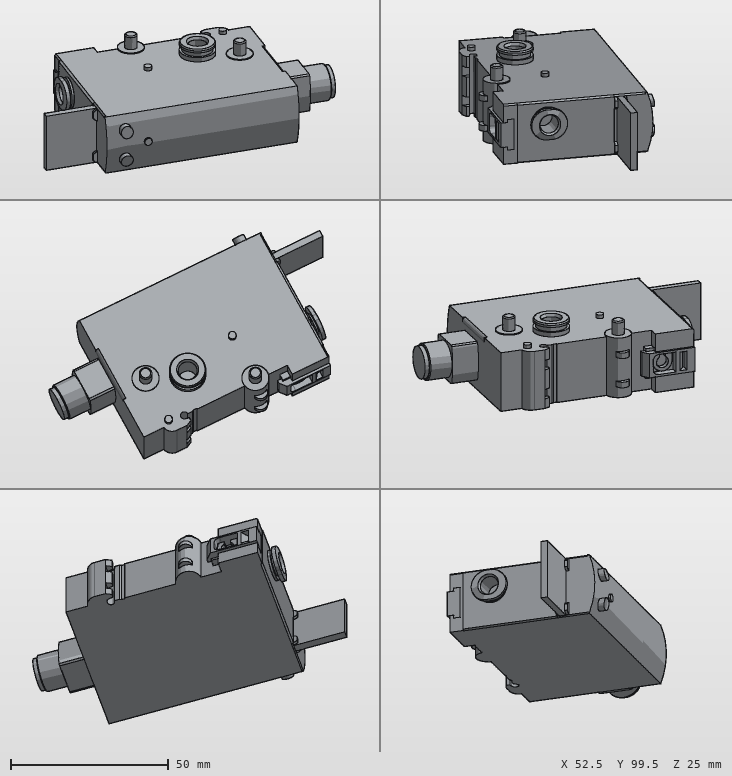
import cadquery as cq
import math


HEIGHT = 20.0
MID_Z = 9.8
LENGTH = 64.8
RAIL_FACE_X = 3.4
FOOT_LENGTH = 13.2
BACK_X = 2.75
CROWN_EDGE_X = 47.2
CROWN_X = 49.1
CROWN_RISE = CROWN_X - CROWN_EDGE_X
CROWN_RADIUS = ((HEIGHT / 2) ** 2 + CROWN_RISE**2) / (2 * CROWN_RISE)
CROWN_CENTER_X = CROWN_X - CROWN_RADIUS
PLAIN_CORNER = 0.6
FRONT_CHAMFER = 0.5
BOTTOM_CHAMFER = 0.4
COVER_START, COVER_END = 4.5, 36.3
COVER_RISE = 0.25

HOOK_RADIUS = 3.3
HOOK_ARC_Y = 54.4
HOOK_TIP_Y = 48.9
HOOK_TIP_START, HOOK_TIP_END = 0.9, 2.0
HOOK_BEVEL_Y = 50.75
HOOK_SLOT_RADIUS = 1.2
HOOK_SLOT_Y = 50.0
WINDOW_HEIGHT = 3.2
WINDOW_SPACING = 9.9
GROOVE_START, GROOVE_END = 45.4, 46.55
GROOVE_DEPTH = 0.3
GROOVE_SLOPE = 0.6

COLUMN_X, COLUMN_Y = 4.2, 24.2
PIN_STEP_X = 15.9
PIN_STEP_Y = 31.0
DISC_DIAMETER = 8.6
DISC_RISE = 0.35
TALL_PIN_DIAMETER = 4.0
TALL_PIN_TOP = 25.0
PIN_CHAMFER = 0.4
SHORT_PIN_DIAMETER = 2.5
SHORT_PIN_TOP = 21.2
TAB_DIAMETER = 4.5
TAB_TIP_X = -1.55
TAB_THICKNESS = 1.9
TAB_SPACING = 10.0

BUTTON_DIAMETER = 4.0
BUTTON_Y = 6.3
BUTTON_SPACING = 10.1
BUTTON_END_X = 50.98
LAMP_DIAMETER = 2.5
LAMP_Y = 13.8
LAMP_RISE = 0.6

CONNECTOR_X = 28.65
BLOCK_WIDTH = 13.2
BLOCK_FLAT_HALF = 5.15
BLOCK_EDGE_HALF = 5.85
BLOCK_BEVEL = 0.35
BLOCK_END_Y = 73.6
BARREL_DIAMETER = 12.0
BARREL_END_Y = 81.1
BARREL_CHAMFER = 0.3
TIP_DIAMETER = 10.7
TIP_END_Y = 82.51
RELIEF_START, RELIEF_END = 17.1, 36.0
RELIEF_LENGTH, RELIEF_DROP = 1.0, 1.5

LATCH_FACE_X = -0.9
LATCH_STEP_X = 1.25
LATCH_NECK_WIDTH = 8.2
LATCH_FLANGE_WIDTH = 10.2
LATCH_FLANGE_LENGTH = 15.9
LATCH_BEVEL_Y = 15.5
LATCH_TIP_Y = 17.3
LATCH_TIP_X = 2.25
POCKET_START, POCKET_END = 6.45, 14.2
POCKET_WIDTH = 6.8
POCKET_DEPTH = 2.6
POCKET_RADIUS = 1.8
RING_RECESS = 1.8
RING_Y = 10.4
RING_DIAMETER = 6.4
KEYHOLE_DIAMETER = 4.0
KEYHOLE_WIDTH = 2.1
KEYHOLE_DEPTH = 3.6
GRIP_START, GRIP_END = 2.75, 5.2
GRIP_WIDTH = 6.3
GRIP_DEPTH = 2.5
GRIP_FLOOR = 0.5

SHANK_DIAMETER = 9.5
SHANK_DEPTH = 5.0
FITTING_BORE = 6.0
BORE_MOUTH = 7.0
TOP_FITTING_X, TOP_FITTING_Y = 15.2, 42.7
TOP_FLANGE_DIAMETER = 11.6
TOP_NECK_DIAMETER = 10.0
TOP_COLLAR_RISE = 1.5
TOP_NECK_RISE = 3.2
TOP_FITTING_RISE = 4.4
TOP_BEVEL_WIDTH, TOP_BEVEL_HEIGHT = 0.3, 0.5
FRONT_FITTING_X, FRONT_FITTING_Z = 14.3, 13.1
FRONT_COLLAR_DIAMETER = 10.0
FRONT_COLLAR_END = 1.05
FRONT_NECK_DIAMETER = 7.2
FRONT_NECK_END = 1.9
OVAL_WIDTH, OVAL_HEIGHT = 11.8, 10.0
OVAL_END = 3.15
FRONT_FITTING_END = 3.55

PLATE_START, PLATE_END = 37.2, 39.4
PLATE_LENGTH = 17.0
PLATE_BOTTOM, PLATE_TOP = 0.25, 19.5
LUG_WIDTH = 0.9
LUG_RADIUS = 2.0
LUG_TIP_Y = -1.4
LUG_CENTER_Y = 0.3
LUG_LOW_Z, LUG_HIGH_Z = 2.5, 17.4


def box(x_range, y_range, z_range):
    """Block between two positions on each axis."""
    (x0, x1), (y0, y1), (z0, z1) = x_range, y_range, z_range
    return cq.Workplane("XY").box(x1 - x0, y1 - y0, z1 - z0, centered=False).translate((x0, y0, z0))


def centered_range(center, width):
    return center - width / 2, center + width / 2


def upright(diameter, x, y, z_bottom, z_top):
    """Cylinder along Z."""
    return cq.Workplane("XY", origin=(x, y, z_bottom)).circle(diameter / 2).extrude(z_top - z_bottom)


def outward_x(diameter, y, z, x_start, x_end):
    """Cylinder along X."""
    return cq.Workplane("YZ", origin=(x_start, y, z)).circle(diameter / 2).extrude(x_end - x_start)


def along_y(diameter, x, z, y_start, y_end):
    """Cylinder along Y."""
    plane = cq.Workplane("XZ", origin=(x, y_start, z))
    return plane.circle(diameter / 2).extrude(y_start - y_end)


def stepped_round(plane, stages):
    """Stack of round stages on a plane, each given as diameter, start and end."""
    body = None
    for diameter, start, end in stages:
        stage = plane.workplane(offset=start).circle(diameter / 2).extrude(end - start)
        body = stage if body is None else body.union(stage)
    return body


def fitting_bore(plane, end):
    """Bore of a fitting, with a conical mouth at its outer end."""
    bore = plane.workplane(offset=-SHANK_DEPTH).circle(FITTING_BORE / 2).extrude(SHANK_DEPTH + end)
    mouth = plane.workplane(offset=end).circle(BORE_MOUTH / 2)
    mouth = mouth.workplane(offset=FITTING_BORE - BORE_MOUTH).circle(FITTING_BORE / 2).loft()
    return bore.union(mouth)


def housing_block():
    """Plan outline with the rail hook, trimmed by the bulged side, plus the front cover."""
    diagonal = HOOK_RADIUS * math.sqrt(0.5)
    hook_end_dx = HOOK_RADIUS - BACK_X
    hook_end_y = HOOK_ARC_Y + math.sqrt(HOOK_RADIUS**2 - hook_end_dx**2)
    plan = (
        cq.Workplane("XY")
        .moveTo(0, 0)
        .lineTo(CROWN_X, 0)
        .lineTo(CROWN_X, LENGTH)
        .lineTo(BACK_X, LENGTH)
        .lineTo(BACK_X, hook_end_y)
        .threePointArc((HOOK_RADIUS - diagonal, HOOK_ARC_Y + diagonal), (0, HOOK_ARC_Y))
        .lineTo(0, HOOK_BEVEL_Y)
        .lineTo(HOOK_TIP_START, HOOK_TIP_Y)
        .lineTo(HOOK_TIP_END, HOOK_TIP_Y)
        .lineTo(RAIL_FACE_X - HOOK_SLOT_RADIUS, HOOK_SLOT_Y)
        .lineTo(RAIL_FACE_X, HOOK_SLOT_Y)
        .lineTo(RAIL_FACE_X, GROOVE_END + GROOVE_SLOPE)
        .lineTo(RAIL_FACE_X + GROOVE_DEPTH, GROOVE_END)
        .lineTo(RAIL_FACE_X + GROOVE_DEPTH, GROOVE_START)
        .lineTo(RAIL_FACE_X, GROOVE_START)
        .lineTo(RAIL_FACE_X, FOOT_LENGTH)
        .lineTo(0, FOOT_LENGTH)
        .close()
        .extrude(HEIGHT)
    )
    plan = plan.cut(upright(2 * HOOK_SLOT_RADIUS, RAIL_FACE_X, HOOK_SLOT_Y, 0, HEIGHT))
    cover = box((COVER_START, COVER_END), (-COVER_RISE, 0), (0, HEIGHT))
    crown = cq.Workplane("XZ", origin=(CROWN_CENTER_X, LENGTH, HEIGHT / 2))
    crown = crown.circle(CROWN_RADIUS).extrude(LENGTH + COVER_RISE)
    block = plan.union(cover).intersect(crown)
    for window_z in (MID_Z - WINDOW_SPACING / 2, MID_Z + WINDOW_SPACING / 2):
        window_z_range = centered_range(window_z, WINDOW_HEIGHT)
        block = block.cut(box((0, RAIL_FACE_X), (HOOK_TIP_Y, HOOK_BEVEL_Y), window_z_range))
    return block


def front_bevel(x_start, x_end, rise, edge_z, drop):
    """Wedge that bevels an edge of the front face, which stands proud of Y = 0 by the rise."""
    wedge = cq.Workplane("YZ", origin=(x_start, 0, edge_z))
    wedge = wedge.polyline([(-rise, -drop), (abs(drop), 0), (-rise, 0)]).close()
    return wedge.extrude(x_end - x_start)


def back_relief():
    """Cut that rounds the top of the back face above the connector, running smoothly into the face."""
    wedge = cq.Workplane("YZ", origin=(RELIEF_START, LENGTH, HEIGHT))
    radius = (RELIEF_LENGTH**2 + RELIEF_DROP**2) / (2 * RELIEF_LENGTH)
    half_angle = math.atan2(RELIEF_LENGTH, RELIEF_DROP)
    arc_middle = (radius * (math.cos(half_angle) - 1), radius * math.sin(half_angle) - RELIEF_DROP)
    wedge = wedge.moveTo(0, -RELIEF_DROP).threePointArc(arc_middle, (-RELIEF_LENGTH, 0))
    wedge = wedge.lineTo(0, 0).close()
    return wedge.extrude(RELIEF_END - RELIEF_START)


def tall_pin(x, y, disc_bottom):
    """Pin on a flat disc."""
    pin = upright(TALL_PIN_DIAMETER, x, y, HEIGHT, TALL_PIN_TOP).faces(">Z").chamfer(PIN_CHAMFER)
    return upright(DISC_DIAMETER, x, y, disc_bottom, HEIGHT + DISC_RISE).union(pin)


def clip_tabs():
    tabs = cq.Workplane("XY")
    tab_x = TAB_TIP_X + TAB_DIAMETER / 2
    for tab_z in (MID_Z - TAB_SPACING / 2, MID_Z + TAB_SPACING / 2):
        bottom, top = centered_range(tab_z, TAB_THICKNESS)
        tabs = tabs.union(upright(TAB_DIAMETER, tab_x, COLUMN_Y, bottom, top))
    return tabs


def side_controls():
    """Two buttons and a lamp, their ends curved about the axis of the bulged side."""

    def end_cylinder(radius):
        plane = cq.Workplane("XZ", origin=(CROWN_CENTER_X, LENGTH, HEIGHT / 2))
        return plane.circle(radius).extrude(LENGTH)

    start_x = CROWN_EDGE_X - PLAIN_CORNER
    nearest_z = (BUTTON_SPACING - BUTTON_DIAMETER) / 2
    button_radius = math.hypot(BUTTON_END_X - CROWN_CENTER_X, nearest_z)
    controls = cq.Workplane("XY")
    for side in (-1, 1):
        button_z = HEIGHT / 2 + side * BUTTON_SPACING / 2
        controls = controls.union(outward_x(BUTTON_DIAMETER, BUTTON_Y, button_z, start_x, BUTTON_END_X))
    controls = controls.intersect(end_cylinder(button_radius))
    lamp = outward_x(LAMP_DIAMETER, LAMP_Y, HEIGHT / 2, start_x, BUTTON_END_X)
    return controls.union(lamp.intersect(end_cylinder(CROWN_RADIUS + LAMP_RISE)))


def connector():
    """Block with bulged sides, then a round barrel with a reduced tip."""
    half = BLOCK_WIDTH / 2
    edge_z = half - BLOCK_BEVEL
    block = (
        cq.Workplane("XZ", origin=(CONNECTOR_X, LENGTH, MID_Z))
        .moveTo(-BLOCK_FLAT_HALF, half)
        .lineTo(BLOCK_FLAT_HALF, half)
        .lineTo(BLOCK_EDGE_HALF, edge_z)
        .threePointArc((half, 0), (BLOCK_EDGE_HALF, -edge_z))
        .lineTo(BLOCK_FLAT_HALF, -half)
        .lineTo(-BLOCK_FLAT_HALF, -half)
        .lineTo(-BLOCK_EDGE_HALF, -edge_z)
        .threePointArc((-half, 0), (-BLOCK_EDGE_HALF, edge_z))
        .close()
        .extrude(LENGTH - BLOCK_END_Y)
    )
    barrel = along_y(BARREL_DIAMETER, CONNECTOR_X, MID_Z, BLOCK_END_Y, BARREL_END_Y)
    barrel = barrel.faces(">Y").chamfer(BARREL_CHAMFER)
    tip = along_y(TIP_DIAMETER, CONNECTOR_X, MID_Z, BARREL_END_Y, TIP_END_Y)
    return block.union(barrel).union(tip)


def hinge_lugs():
    """Four rounded lugs, one on each side of the plate at its top and bottom."""
    lugs = cq.Workplane("XY")
    for lug_x in (PLATE_START - LUG_WIDTH, PLATE_END):
        for lug_z in (LUG_LOW_Z, LUG_HIGH_Z):
            lugs = lugs.union(outward_x(2 * LUG_RADIUS, LUG_CENTER_Y, lug_z, lug_x, lug_x + LUG_WIDTH))
    lug_y_range = (LUG_TIP_Y, LUG_CENTER_Y + LUG_RADIUS)
    return lugs.intersect(box((COVER_START, CROWN_X), lug_y_range, (0, HEIGHT)))


def latch_blank():
    """T-shaped slider with a bevelled nose, also used to cut its guide in the housing."""
    neck_bottom, neck_top = centered_range(MID_Z, LATCH_NECK_WIDTH)
    neck = (
        cq.Workplane("XY", origin=(0, 0, neck_bottom))
        .moveTo(LATCH_FACE_X, 0)
        .lineTo(LATCH_FACE_X, LATCH_BEVEL_Y)
        .lineTo(LATCH_STEP_X, LATCH_TIP_Y)
        .lineTo(LATCH_TIP_X, LATCH_TIP_Y)
        .lineTo(LATCH_TIP_X, 0)
        .close()
        .extrude(neck_top - neck_bottom)
    )
    flange_z = centered_range(MID_Z, LATCH_FLANGE_WIDTH)
    flange = box((LATCH_STEP_X, RAIL_FACE_X), (0, LATCH_FLANGE_LENGTH), flange_z)
    return neck.union(flange)


def latch_pocket():
    """Pocket in the latch face, around a lower ring that has a keyhole in it."""
    floor_x = LATCH_FACE_X + POCKET_DEPTH
    pocket_z = centered_range(MID_Z, POCKET_WIDTH)
    pocket = box((LATCH_FACE_X, floor_x), (POCKET_START, POCKET_END), pocket_z)
    pocket = pocket.edges("|X and >Y").fillet(POCKET_RADIUS)
    ring_y = centered_range(RING_Y, RING_DIAMETER)
    ring_x = LATCH_FACE_X + RING_RECESS
    ring = outward_x(RING_DIAMETER, RING_Y, MID_Z, ring_x, floor_x)
    ring = ring.union(box((ring_x, floor_x), ring_y, (MID_Z, MID_Z + RING_DIAMETER / 2)))
    keyhole_x = LATCH_FACE_X + KEYHOLE_DEPTH
    keyhole = outward_x(KEYHOLE_DIAMETER, RING_Y, MID_Z, LATCH_FACE_X, keyhole_x)
    channel_y = centered_range(RING_Y, KEYHOLE_WIDTH)
    channel = box((LATCH_FACE_X, keyhole_x), channel_y, (MID_Z, MID_Z + POCKET_WIDTH / 2))
    return pocket.cut(ring).union(keyhole).union(channel)


def latch_grip():
    """Wedge-shaped finger slot, deepest at its front end."""
    bottom, top = centered_range(MID_Z, GRIP_WIDTH)
    grip = cq.Workplane("XY", origin=(LATCH_FACE_X, 0, bottom))
    floor_end = GRIP_START + GRIP_FLOOR
    profile = [(0, GRIP_START), (GRIP_DEPTH, GRIP_START), (GRIP_DEPTH, floor_end), (0, GRIP_END)]
    grip = grip.polyline(profile).close()
    return grip.extrude(top - bottom)


top_plane = cq.Workplane("XY", origin=(TOP_FITTING_X, TOP_FITTING_Y, HEIGHT))
top_stages = [
    (SHANK_DIAMETER, -SHANK_DEPTH, 0),
    (TOP_FLANGE_DIAMETER, 0, TOP_COLLAR_RISE),
    (TOP_NECK_DIAMETER, TOP_COLLAR_RISE, TOP_NECK_RISE),
    (TOP_FLANGE_DIAMETER, TOP_NECK_RISE, TOP_FITTING_RISE),
]
top_fitting = stepped_round(top_plane, top_stages)
top_fitting = top_fitting.faces(">Z").chamfer(TOP_BEVEL_HEIGHT, TOP_BEVEL_WIDTH)
top_fitting = top_fitting.cut(fitting_bore(top_plane, TOP_FITTING_RISE))

front_plane = cq.Workplane("XZ", origin=(FRONT_FITTING_X, 0, FRONT_FITTING_Z))
front_stages = [
    (SHANK_DIAMETER, -SHANK_DEPTH, COVER_RISE),
    (FRONT_COLLAR_DIAMETER, COVER_RISE, FRONT_COLLAR_END),
    (FRONT_NECK_DIAMETER, FRONT_COLLAR_END, FRONT_NECK_END),
]
oval_flange = front_plane.workplane(offset=FRONT_NECK_END).slot2D(OVAL_WIDTH, OVAL_HEIGHT)
oval_flange = oval_flange.extrude(FRONT_FITTING_END - FRONT_NECK_END)
tapered_face = front_plane.workplane(offset=OVAL_END).circle(OVAL_WIDTH / 2)
tapered_face = tapered_face.workplane(offset=FRONT_FITTING_END - OVAL_END).circle(BORE_MOUTH / 2).loft()
flange_envelope = stepped_round(front_plane, [(OVAL_WIDTH, FRONT_NECK_END, OVAL_END)]).union(tapered_face)
oval_flange = oval_flange.intersect(flange_envelope)
front_fitting = stepped_round(front_plane, front_stages).union(oval_flange)
front_fitting = front_fitting.cut(fitting_bore(front_plane, FRONT_FITTING_END))

label_plate = box((PLATE_START, PLATE_END), (-PLATE_LENGTH, 0), (PLATE_BOTTOM, PLATE_TOP))

latch = latch_blank().cut(latch_pocket()).cut(latch_grip())

bevel_end = CROWN_EDGE_X - PLAIN_CORNER
housing = (
    housing_block()
    .cut(front_bevel(0, COVER_START, 0, HEIGHT, FRONT_CHAMFER))
    .cut(front_bevel(COVER_START, COVER_END, COVER_RISE, HEIGHT, FRONT_CHAMFER))
    .cut(front_bevel(COVER_END, bevel_end, 0, HEIGHT, FRONT_CHAMFER))
    .cut(front_bevel(COVER_START, COVER_END, COVER_RISE, 0, -BOTTOM_CHAMFER))
    .cut(front_bevel(COVER_END, CROWN_X, 0, 0, -BOTTOM_CHAMFER))
    .cut(back_relief())
    .union(tall_pin(COLUMN_X, COLUMN_Y, 0))
    .union(tall_pin(COLUMN_X + PIN_STEP_X, COLUMN_Y + PIN_STEP_Y, HEIGHT))
    .union(upright(SHORT_PIN_DIAMETER, COLUMN_X + PIN_STEP_X, COLUMN_Y, HEIGHT, SHORT_PIN_TOP))
    .union(upright(SHORT_PIN_DIAMETER, COLUMN_X, COLUMN_Y + PIN_STEP_Y, HEIGHT, SHORT_PIN_TOP))
    .union(clip_tabs())
    .union(side_controls())
    .union(connector())
    .union(hinge_lugs())
    .cut(latch_blank())
    .cut(stepped_round(top_plane, top_stages[:1]))
    .cut(stepped_round(front_plane, front_stages[:1]))
)

result = cq.Compound.makeCompound(
    [housing.val(), latch.val(), top_fitting.val(), front_fitting.val(), label_plate.val()]
)